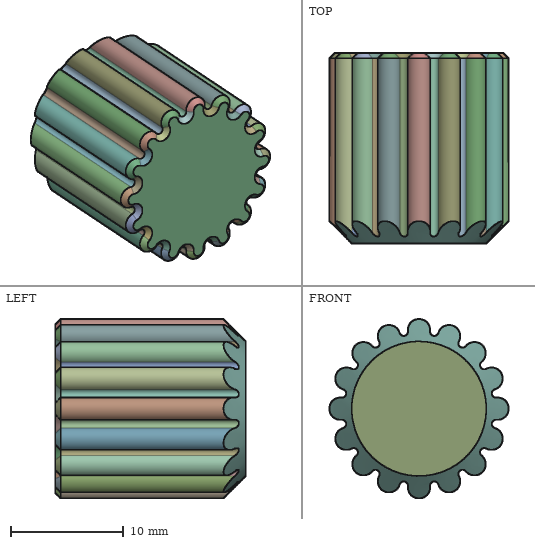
import cadquery as cq
import math

length = 17.0
outer_diameter = 16.0
face_diameter = 12.0
lobe_count = 16
lobe_radius = 1.0
back_chamfer = 0.5

outer_radius = outer_diameter / 2
face_radius = face_diameter / 2
front_chamfer = outer_radius - face_radius
pitch_radius = outer_radius - lobe_radius
lobe_angle = 2 * math.pi / lobe_count
arc_centre_distance = 2 * pitch_radius * math.sin(lobe_angle / 4)
groove_radius = arc_centre_distance - lobe_radius
root_radius = pitch_radius - groove_radius


def polar(radius, angle):
    return (radius * math.cos(angle), radius * math.sin(angle))


def tangent_point(lobe_direction, side):
    """Point where a lobe meets the groove on its side (-1 or +1)."""
    lobe_x, lobe_y = polar(pitch_radius, lobe_direction)
    groove_x, groove_y = polar(pitch_radius, lobe_direction + side * lobe_angle / 2)
    share = lobe_radius / arc_centre_distance
    return (lobe_x + share * (groove_x - lobe_x), lobe_y + share * (groove_y - lobe_y))


def fluted_body():
    """Knob grip along Y, with its fluted outline chamfered at the back."""
    outline = cq.Workplane("XZ", origin=(0, length / 2, 0)).moveTo(*tangent_point(0, -1))
    for index in range(lobe_count):
        direction = index * lobe_angle
        lobe_tip = polar(outer_radius, direction)
        groove_bottom = polar(root_radius, direction + lobe_angle / 2)
        outline = outline.threePointArc(lobe_tip, tangent_point(direction, 1))
        outline = outline.threePointArc(groove_bottom, tangent_point(direction + lobe_angle, -1))
    return outline.close().extrude(length).faces(">Y").chamfer(back_chamfer)


def front_cone_envelope():
    """Round envelope whose front end narrows at 45 degrees to the flat face."""
    front = -length / 2
    back = length / 2
    half_section = [
        (0, front),
        (face_radius, front),
        (outer_radius, front + front_chamfer),
        (outer_radius, back),
        (0, back),
    ]
    return cq.Workplane("XY").polyline(half_section).close().revolve(360, (0, 0), (0, 1))


result = fluted_body().intersect(front_cone_envelope())